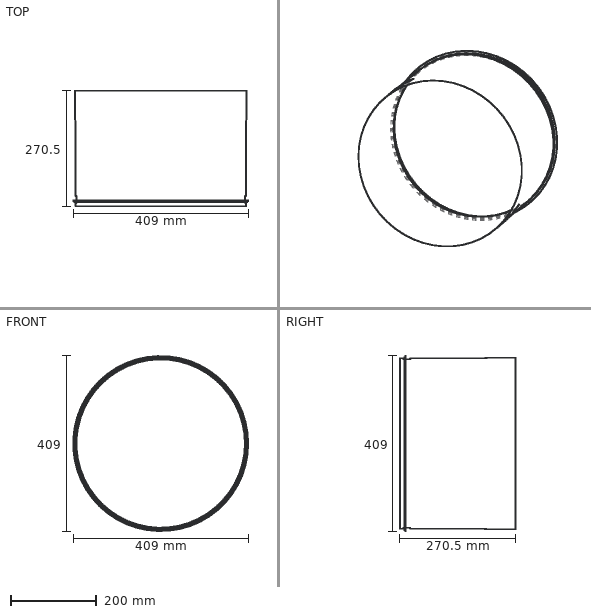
import cadquery as cq
import math

LENGTH = 270.5
WALL = 0.6
BODY_RADIUS = 399.0 / 2
SOCKET_RADIUS = 401.5 / 2
GROOVE_RADIUS = 394.0 / 2
RIM_RADIUS = 398.0 / 2
RIM_LENGTH = 1.45
SOCKET_CONE_START = 196.0
SOCKET_START = 206.0

GROOVE_START = 7.5
GROOVE_END = 25.8
GROOVE_FLOOR_START = 10.0
GROOVE_FLOOR_END = 22.0

SEAL_STEP_RADIUS = 397.7 / 2
TALL_FIN_RADIUS = 409 / 2
SHORT_FIN_RADIUS = 404.3 / 2
TALL_FIN_THICKNESS = 1.5
SHORT_FIN_THICKNESS = 1.0
TALL_FIN_START = 12.5
SEAL_START = GROOVE_FLOOR_START


def revolve_about_y(outline):
    """Revolve a closed outline of radius (X) and length (Y) about the Y axis."""
    return outline.revolve(360, (0, 0, 0), (0, 1, 0))


def add_shoulder(outline, radius, end_radius, y, end_y, depth=0):
    """Join two outside radii with an S-curve of two arcs, or follow it at a depth below."""
    turn = 2 * math.atan2(end_radius - radius, abs(end_y - y))
    middle = (
        (radius + end_radius) / 2 - depth * math.cos(turn),
        (y + end_y) / 2 + math.copysign(depth, end_y - y) * math.sin(turn),
    )
    start = (radius - depth, y)
    end = (end_radius - depth, end_y)
    return (
        outline
        .threePointArc(arc_middle(start, middle), middle)
        .threePointArc(arc_middle(end, middle), end)
    )


def arc_middle(tangent_end, other_end):
    """Midpoint of an arc that runs parallel to Y at tangent_end."""
    drop = other_end[0] - tangent_end[0]
    run = other_end[1] - tangent_end[1]
    arc_radius = (drop**2 + run**2) / (2 * abs(drop))
    side = drop / abs(drop)
    center_x = tangent_end[0] + side * arc_radius
    chord_x = (tangent_end[0] + other_end[0]) / 2 - center_x
    chord_y = run / 2
    stretch = arc_radius / (chord_x**2 + chord_y**2) ** 0.5
    return (center_x + chord_x * stretch, tangent_end[1] + chord_y * stretch)


def make_pipe():
    """Thin pipe: bevelled rim, lip, rolled groove, body and widened socket."""
    bore = BODY_RADIUS - WALL
    groove_bore = GROOVE_RADIUS - WALL
    socket_bore = SOCKET_RADIUS - WALL

    outline = (
        cq.Workplane("XY")
        .moveTo(bore, 0)
        .lineTo(RIM_RADIUS, 0)
        .lineTo(BODY_RADIUS, RIM_LENGTH)
        .lineTo(BODY_RADIUS, GROOVE_START)
    )
    outline = add_shoulder(outline, BODY_RADIUS, GROOVE_RADIUS, GROOVE_START, GROOVE_FLOOR_START)
    outline = outline.lineTo(GROOVE_RADIUS, GROOVE_FLOOR_END)
    outline = add_shoulder(outline, GROOVE_RADIUS, BODY_RADIUS, GROOVE_FLOOR_END, GROOVE_END)
    outline = (
        outline
        .lineTo(BODY_RADIUS, SOCKET_CONE_START)
        .lineTo(SOCKET_RADIUS, SOCKET_START)
        .lineTo(SOCKET_RADIUS, LENGTH)
    )

    outline = (
        outline
        .lineTo(socket_bore, LENGTH)
        .lineTo(socket_bore, SOCKET_START)
        .lineTo(bore, SOCKET_CONE_START)
        .lineTo(bore, GROOVE_END)
    )
    outline = add_shoulder(outline, BODY_RADIUS, GROOVE_RADIUS, GROOVE_END, GROOVE_FLOOR_END, WALL)
    outline = outline.lineTo(groove_bore, GROOVE_FLOOR_START)
    outline = add_shoulder(outline, GROOVE_RADIUS, BODY_RADIUS, GROOVE_FLOOR_START, GROOVE_START, WALL)
    return revolve_about_y(outline.close())


def make_seal():
    """Seal ring with a flat base on the groove floor and two radial fins."""
    short_fin_end = SEAL_START + SHORT_FIN_THICKNESS
    tall_fin_end = TALL_FIN_START + TALL_FIN_THICKNESS
    outline = cq.Workplane("XY").polyline([
        (GROOVE_RADIUS, SEAL_START),
        (SHORT_FIN_RADIUS, SEAL_START),
        (SHORT_FIN_RADIUS, short_fin_end),
        (SEAL_STEP_RADIUS, short_fin_end),
        (SEAL_STEP_RADIUS, TALL_FIN_START),
        (TALL_FIN_RADIUS, TALL_FIN_START),
        (TALL_FIN_RADIUS, tall_fin_end),
        (GROOVE_RADIUS, tall_fin_end),
    ])
    return revolve_about_y(outline.close())


pipe = make_pipe()
seal = make_seal()

result = cq.Compound.makeCompound([pipe.val(), seal.val()])